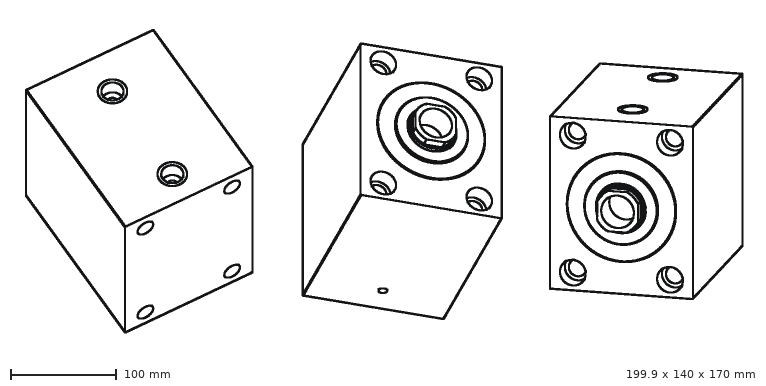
import cadquery as cq
import math


HOUSING_LENGTH = 185.5
HOUSING_WIDTH = 140.0
HOUSING_HEIGHT = 170.0
HOUSING_EDGE_CHAMFER = 0.5

BOLT_SPACING_Y = 95.0
BOLT_SPACING_Z = 135.0
BOLT_HOLE_DIAMETER = 17.2
BOLT_COUNTERBORE_DIAMETER = 25.2
BOLT_COUNTERBORE_DEPTH = 18.0

FRONT_PORT_X = 42.5
REAR_PORT_X = 154.8
PORT_SPOTFACE_DIAMETER = 28.0
PORT_SPOTFACE_DEPTH = 0.2
PORT_DIAMETER = 21.0
PORT_DEPTH = 16.0
PORT_PASSAGE_DIAMETER = 8.5

GLAND_DIAMETER = 107.0
GLAND_DEPTH = 60.0
GLAND_CHAMFER = 0.8
COLLAR_DIAMETER = 72.0
COLLAR_LENGTH = 2.5
COLLAR_CHAMFER = 0.8
WIPER_RECESS_DIAMETER = 48.8
WIPER_RECESS_DEPTH = 2.5

ROD_DIAMETER = 44.8
ROD_SHOULDER_LENGTH = 5.2
ROD_CHAMFER = 0.8
HEAD_LENGTH = 9.2
HEAD_DIAMETER = 44.0
HEAD_ACROSS_FLATS = 40.0
SOCKET_DIAMETER = 32.0
SOCKET_DEPTH = 30.0
DRILL_POINT_ANGLE = 118.0


def x_cylinder(diameter, start, end):
    """Cylinder on the X axis from X = start to X = end."""
    return cq.Workplane("YZ", origin=(start, 0, 0)).circle(diameter / 2).extrude(end - start)


def z_cylinder(diameter, x, bottom, top):
    """Upright cylinder at the given X from Z = bottom to Z = top."""
    return cq.Workplane("XY", origin=(x, 0, bottom)).circle(diameter / 2).extrude(top - bottom)


def bolt_cylinders(diameter, depth):
    """Four cylinders at the bolt places, running from the front face to the given depth."""
    return (
        cq.Workplane("YZ")
        .rect(BOLT_SPACING_Y, BOLT_SPACING_Z, forConstruction=True)
        .vertices()
        .circle(diameter / 2)
        .extrude(depth)
    )


def port(x, passage_bottom):
    """Spotface, port and narrow passage to cut from the top face."""
    top = HOUSING_HEIGHT / 2
    return (
        z_cylinder(PORT_SPOTFACE_DIAMETER, x, top - PORT_SPOTFACE_DEPTH, top)
        .union(z_cylinder(PORT_DIAMETER, x, top - PORT_DEPTH, top))
        .union(z_cylinder(PORT_PASSAGE_DIAMETER, x, passage_bottom, top))
    )


def make_housing():
    block = cq.Workplane("XY").box(
        HOUSING_LENGTH, HOUSING_WIDTH, HOUSING_HEIGHT, centered=(False, True, True)
    )
    block = block.edges("|X").chamfer(HOUSING_EDGE_CHAMFER)
    return (
        block.cut(bolt_cylinders(BOLT_HOLE_DIAMETER, HOUSING_LENGTH))
        .cut(bolt_cylinders(BOLT_COUNTERBORE_DIAMETER, BOLT_COUNTERBORE_DEPTH))
        .cut(x_cylinder(GLAND_DIAMETER, 0, GLAND_DEPTH))
        .cut(port(FRONT_PORT_X, 0))
        .cut(port(REAR_PORT_X, -HOUSING_HEIGHT / 2))
    )


def make_gland():
    body = x_cylinder(GLAND_DIAMETER, 0, GLAND_DEPTH).faces("<X").chamfer(GLAND_CHAMFER)
    collar = x_cylinder(COLLAR_DIAMETER, -COLLAR_LENGTH, 0).faces("<X").chamfer(COLLAR_CHAMFER)
    recess_end = WIPER_RECESS_DEPTH - COLLAR_LENGTH
    return (
        body.union(collar)
        .cut(x_cylinder(ROD_DIAMETER, -COLLAR_LENGTH, GLAND_DEPTH))
        .cut(x_cylinder(WIPER_RECESS_DIAMETER, -COLLAR_LENGTH, recess_end))
    )


def make_head():
    flats = cq.Workplane("XY").box(
        HEAD_LENGTH, HEAD_ACROSS_FLATS, HEAD_ACROSS_FLATS, centered=(False, True, True)
    )
    head_front = -ROD_SHOULDER_LENGTH - HEAD_LENGTH
    blank = x_cylinder(HEAD_DIAMETER, head_front, -ROD_SHOULDER_LENGTH)
    return blank.intersect(flats.translate((head_front, 0, 0)))


def make_socket():
    """Blind hole with a drill point, to cut from the front of the rod head."""
    front = -ROD_SHOULDER_LENGTH - HEAD_LENGTH
    radius = SOCKET_DIAMETER / 2
    point_length = radius / math.tan(math.radians(DRILL_POINT_ANGLE / 2))
    return (
        cq.Workplane("XZ")
        .moveTo(front, 0)
        .lineTo(front, radius)
        .lineTo(front + SOCKET_DEPTH, radius)
        .lineTo(front + SOCKET_DEPTH + point_length, 0)
        .close()
        .revolve(360, (0, 0, 0), (1, 0, 0))
    )


def make_rod():
    shaft = x_cylinder(ROD_DIAMETER, -ROD_SHOULDER_LENGTH, GLAND_DEPTH)
    return shaft.faces("<X").chamfer(ROD_CHAMFER).union(make_head()).cut(make_socket())


housing = make_housing()
gland = make_gland()
rod = make_rod()

result = cq.Compound.makeCompound([housing.val(), gland.val(), rod.val()])